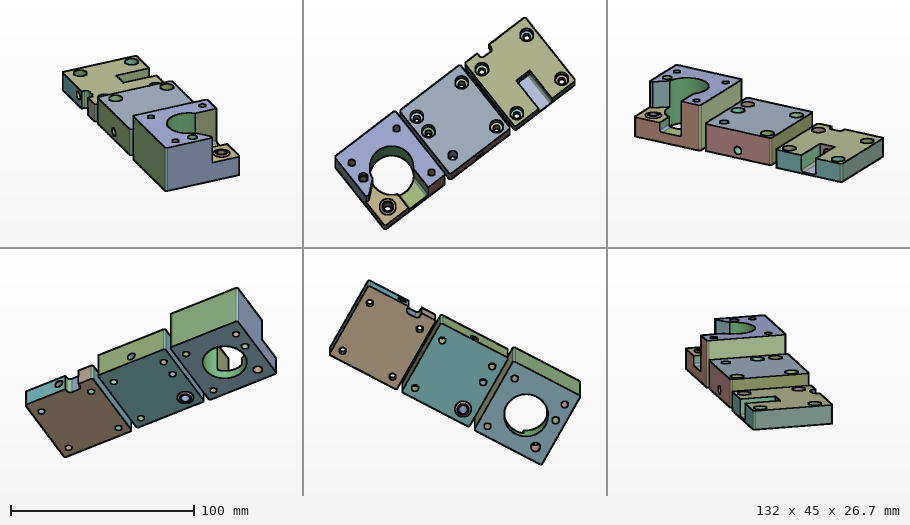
import cadquery as cq

block_width = 42.0
block_length = 45.0
block_gap = 3.0
block_pitch = block_width + block_gap
corner_radius = 1.0
rear_y = block_length
centre_x = block_width / 2

screw_spacing = 31.0
screw_left = (block_width - screw_spacing) / 2
screw_right = block_width - screw_left
screw_rear = rear_y - screw_left
screw_front = screw_rear - screw_spacing
extra_screw_offset = 10.3
extra_screw_y = screw_front + extra_screw_offset
screw_diameter = 3.7
head_diameter = 7.3
head_depth = 6.0

passage_diameter = 4.5
slot_fillet = 1.3

cover_height = 10.7
cover_passage_z = 6.2
cover_slot_width = 9.2
cover_slot_length = 19.9
cover_slot_floor = 1.0
notch_x = 29.0
notch_width = 8.0
notch_depth = 3.7
notch_radius = 2.0

locator_x = 34.2
locator_rear_inset = 7.5
locator_y = rear_y - locator_rear_inset
locator_hole_diameter = 5.0
boss_height = 0.7
boss_base_diameter = 9.0
boss_tip_diameter = 6.2

middle_height = 16.0
middle_passage_z = 5.1

motor_height = 26.7
ledge_z = 11.4
bore_diameter = 24.0
bore_y = rear_y - centre_x
motor_slot_left = 12.0
motor_slot_width = 13.6
motor_slot_floor = 6.0
ledge_wall_y = 28.2
ledge_wall_bend_x = 40.0
ledge_wall_inner_x = 31.4
ledge_wall_inner_y = 21.1
wide_hole_diameter = 5.0
wide_hole_depth = 6.0
wide_hole_exit_diameter = 4.0


def box(x_min, x_max, y_min, y_max, z_min, z_max):
    """Box given by its limits along each axis."""
    size = (x_max - x_min, y_max - y_min, z_max - z_min)
    return cq.Workplane().box(*size, centered=False).translate((x_min, y_min, z_min))


def drill(x, y, z_min, z_max, diameter):
    """Vertical cylinder used as a cutter."""
    return cq.Workplane(origin=(x, y, z_min)).circle(diameter / 2).extrude(z_max - z_min)


def cone(x, y, z_min, height, lower_diameter, upper_diameter):
    """Vertical truncated cone."""
    return cq.Workplane(
        cq.Solid.makeCone(lower_diameter / 2, upper_diameter / 2, height, cq.Vector(x, y, z_min))
    )


def rounded_block(z_min, height):
    """Plain block with its four vertical edges rounded."""
    return box(0, block_width, 0, block_length, z_min, z_min + height).edges("|Z").fillet(corner_radius)


def cut_screw_holes(block, positions, top_z):
    """Counterbored screw holes through the full height."""
    for x, y in positions:
        block = block.cut(drill(x, y, 0, top_z, screw_diameter))
        block = block.cut(drill(x, y, top_z - head_depth, top_z, head_diameter))
    return block


def cut_passage(block, z):
    """Horizontal hole along Y, in the middle of the width."""
    passage = (
        cq.Workplane("XZ", origin=(centre_x, 0, z)).circle(passage_diameter / 2).extrude(-block_length)
    )
    return block.cut(passage)


def make_slot(x_min, x_max, y_min, floor_z, top_z):
    """Cutter for a slot that is open at the top and rear, with filleted floor corners."""
    slot = box(x_min, x_max, y_min, rear_y, floor_z, top_z)
    return slot.edges("|Y and <Z").fillet(slot_fillet)


def make_cover():
    cover = rounded_block(0, cover_height)
    screws = [(x, y) for x in (screw_left, screw_right) for y in (screw_front, screw_rear)]
    cover = cut_screw_holes(cover, screws, cover_height)
    cover = cut_passage(cover, cover_passage_z)
    cover = cover.cut(
        make_slot(
            centre_x - cover_slot_width / 2,
            centre_x + cover_slot_width / 2,
            rear_y - cover_slot_length,
            cover_slot_floor,
            cover_height,
        )
    )
    notch = box(
        notch_x - notch_width / 2, notch_x + notch_width / 2, 0, notch_depth, 0, cover_height
    )
    return cover.cut(notch.edges("|Z and >Y").fillet(notch_radius))


def make_middle_block():
    top_z = boss_height + middle_height
    block = rounded_block(boss_height, middle_height)
    block = block.union(
        cone(locator_x, locator_y, 0, boss_height, boss_tip_diameter, boss_base_diameter)
    )
    block = block.cut(drill(locator_x, locator_y, 0, top_z, locator_hole_diameter))
    screws = [
        (screw_left, screw_front),
        (screw_left, screw_rear),
        (screw_right, screw_front),
        (screw_right, extra_screw_y),
    ]
    block = cut_screw_holes(block, screws, top_z)
    return cut_passage(block, middle_passage_z)


def make_ledge_cutter():
    """Space above the rear ledge, bounded in front by a bent wall that starts inside the bore."""
    outline = (
        cq.Workplane(origin=(0, 0, ledge_z))
        .moveTo(motor_slot_left, rear_y)
        .lineTo(motor_slot_left, bore_y)
        .lineTo(ledge_wall_inner_x, ledge_wall_inner_y)
        .lineTo(ledge_wall_bend_x, ledge_wall_y)
        .lineTo(block_width, ledge_wall_y)
        .lineTo(block_width, rear_y)
        .close()
    )
    return outline.extrude(motor_height - ledge_z)


def make_motor_block():
    block = rounded_block(0, motor_height)
    block = block.cut(make_ledge_cutter())
    block = block.cut(drill(centre_x, bore_y, 0, motor_height, bore_diameter))
    block = block.cut(
        make_slot(
            motor_slot_left, motor_slot_left + motor_slot_width, bore_y, motor_slot_floor, motor_height
        )
    )
    for x, y in [(screw_left, screw_front), (screw_left, screw_rear), (screw_right, screw_front)]:
        block = block.cut(drill(x, y, 0, motor_height, screw_diameter))
    block = block.cut(drill(screw_right, extra_screw_y, 0, motor_height, wide_hole_exit_diameter))
    block = block.cut(
        drill(screw_right, extra_screw_y, motor_height - wide_hole_depth, motor_height, wide_hole_diameter)
    )
    block = block.union(
        cone(locator_x, locator_y, ledge_z, boss_height, boss_base_diameter, boss_tip_diameter)
    )
    return block.cut(drill(locator_x, locator_y, 0, ledge_z + boss_height, locator_hole_diameter))


cover = make_cover()
middle_block = make_middle_block().translate((block_pitch, 0, 0))
motor_block = make_motor_block().translate((2 * block_pitch, 0, 0))

result = cq.Compound.makeCompound([cover.val(), middle_block.val(), motor_block.val()])